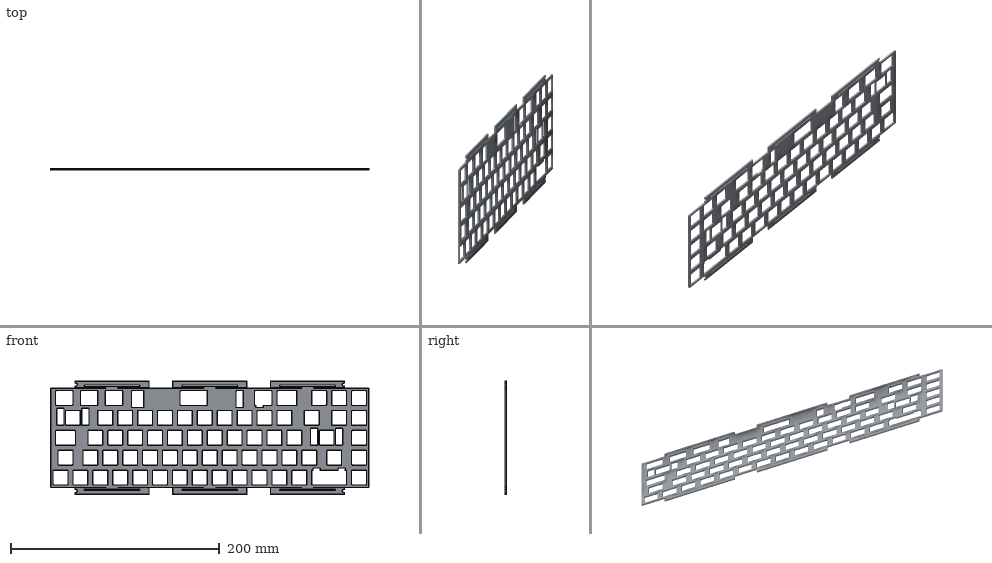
import cadquery as cq

KEY_PITCH = 19.05
COLUMNS = 16
ROWS = 5
THICKNESS = 1.5
PLATE_CORNER_RADIUS = 1.0
PLATE_LENGTH = COLUMNS * KEY_PITCH
PLATE_HEIGHT = ROWS * KEY_PITCH
PLATE_EDGE = PLATE_HEIGHT / 2

SWITCH_SIZE = 14.0
SWITCH_HALF = SWITCH_SIZE / 2
OPENING_RADIUS = 0.5
STABILIZER_WIDTH = 6.75
STABILIZER_EXTENSION = 2.0

SHORT_KEY_STABILIZER = 11.938
SPACE_6U_STABILIZER = 50.0
SPACE_7U_STABILIZER = 57.15

TAB_LENGTH = 71.0
TAB_DEPTH = 6.5
TAB_PITCH = 93.6
TAB_SIDES = (-1, 0, 1)
NECK_WIDTH = 11.5
NECK_OVERLAP = 1.0
RELIEF_WIDTH = 0.1
SLOT_LENGTH = 53.0
SLOT_WIDTH = 1.0
SLOT_OFFSET = 2.2
NOTCH_WIDTH = 2.8
NOTCH_DEPTH = 2.2
NOTCH_OFFSET = 3.2

SINGLE_KEYS = {
    0: [0.5 + i for i in range(13)] + [15.5],
    1: [0.75] + [2.0 + i for i in range(12)] + [14.25, 15.5],
    2: [2.25 + i for i in range(11)] + [13.875, 15.5],
    3: [1.125] + [2.75 + i for i in range(10)] + [13.125, 14.5, 15.5],
    4: [13.5, 14.5, 15.5],
}

SHARED_KEYS = {
    0: [(13.5, 14.5)],
    2: [(0.625, 0.875)],
    4: [(0.625, 0.75), (1.875, 2.0), (3.125, 3.25), (6.875, 7.5), (10.625, 10.75), (11.75, 12.0)],
}

STABILIZED_KEYS = [
    (0, 14.0, SHORT_KEY_STABILIZER, 1),
    (2, 13.875, SHORT_KEY_STABILIZER, 1),
    (3, 1.125, SHORT_KEY_STABILIZER, 1),
    (4, 6.875, SPACE_6U_STABILIZER, -1),
    (4, 7.5, SPACE_7U_STABILIZER, -1),
]


def column_x(units):
    """X of a position given in key units from the left edge."""
    return units * KEY_PITCH - PLATE_LENGTH / 2


def row_z(row):
    """Z of the centre line of a row."""
    return (row + 0.5) * KEY_PITCH - PLATE_HEIGHT / 2


def block(x_center, length, z_min, z_max):
    """Block of plate thickness, centred on x_center and spanning z_min to z_max."""
    box = cq.Workplane("XY").box(length, THICKNESS, z_max - z_min)
    return box.translate((x_center, 0, (z_min + z_max) / 2))


def rounded_block(x_center, length, z_min, z_max, radius):
    """Block whose four corners in the XZ plane are rounded."""
    return block(x_center, length, z_min, z_max).edges("|Y").fillet(radius)


def switch_opening(row, first, last):
    """Cutter for a switch opening covering all positions from first to last."""
    x_center = (column_x(first) + column_x(last)) / 2
    length = column_x(last) - column_x(first) + SWITCH_SIZE
    z = row_z(row)
    return rounded_block(x_center, length, z - SWITCH_HALF, z + SWITCH_HALF, OPENING_RADIUS)


def stabilizer_slot(row, x, direction):
    """Cutter for a stabilizer slot extended up (+1) or down (-1)."""
    z_near = row_z(row) - direction * SWITCH_HALF
    z_far = row_z(row) + direction * (SWITCH_HALF + STABILIZER_EXTENSION)
    z_min = min(z_near, z_far)
    z_max = max(z_near, z_far)
    return rounded_block(x, STABILIZER_WIDTH, z_min, z_max, OPENING_RADIUS)


def opening_cutters():
    """All switch and stabilizer cutters."""
    cutters = []
    for row, keys in SINGLE_KEYS.items():
        cutters += [switch_opening(row, key, key) for key in keys]
    for row, spans in SHARED_KEYS.items():
        cutters += [switch_opening(row, first, last) for first, last in spans]
    for row, key, distance, direction in STABILIZED_KEYS:
        for side in (-1, 1):
            x = column_x(key) + side * distance
            cutters.append(stabilizer_slot(row, x, direction))
    return cutters


def end_notch(x):
    """Cutter for the round-bottomed notch in a tab end at x."""
    profile = cq.Workplane("XZ").center(x, PLATE_EDGE + NOTCH_OFFSET).slot2D(2 * NOTCH_DEPTH, NOTCH_WIDTH)
    return profile.extrude(THICKNESS, both=True)


def upper_tab(side):
    """Tab on the upper edge; the left and right tabs have a notch in their outer end."""
    x = side * TAB_PITCH
    bar = block(x, TAB_LENGTH, PLATE_EDGE + RELIEF_WIDTH, PLATE_EDGE + TAB_DEPTH)
    slot_z = PLATE_EDGE + SLOT_OFFSET
    slot = block(x, SLOT_LENGTH, slot_z - SLOT_WIDTH / 2, slot_z + SLOT_WIDTH / 2)
    neck = block(x, NECK_WIDTH, PLATE_EDGE - NECK_OVERLAP, slot_z - SLOT_WIDTH / 2)
    tab = bar.cut(slot).union(neck)
    if side != 0:
        tab = tab.cut(end_notch(x + side * TAB_LENGTH / 2))
    return tab


def plate():
    """Rounded plate with every opening cut in one operation."""
    blank = rounded_block(0, PLATE_LENGTH, -PLATE_EDGE, PLATE_EDGE, PLATE_CORNER_RADIUS)
    cutters = [cutter.val() for cutter in opening_cutters()]
    return blank.val().cut(*cutters)


def tabs():
    """Upper tabs and their mirror images on the lower edge."""
    solids = []
    for side in TAB_SIDES:
        tab = upper_tab(side)
        solids += [tab.val(), tab.mirror("XY").val()]
    return solids


result = cq.Workplane(plate().fuse(*tabs()).clean()).solids()